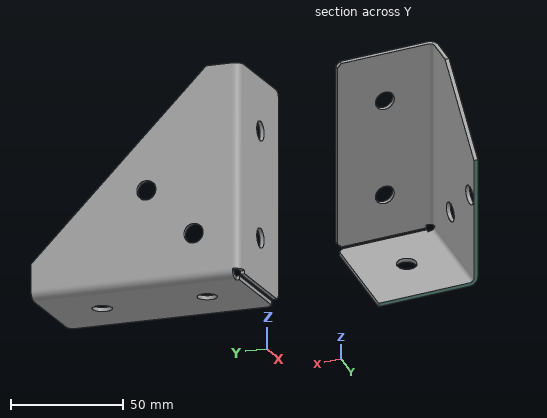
import cadquery as cq

width = 48.0
length = 100.0
thickness = 2.0

inner_radius = 2.0
outer_radius = inner_radius + thickness

corner_chamfer = 2.0
flange_clearance = 0.5
flange_start = thickness + flange_clearance
relief_width = 5.0

gusset_end_width = 16.5

hole_diameter = 9.0
upright_hole_x = 25.0
base_hole_x = 24.0
flange_hole_positions = (25.0, 75.0)
gusset_hole_positions = (22.5, 45.0)


def make_gusset():
    """Triangular web in the YZ plane with clipped tips, starting past both bends."""
    web = (
        cq.Workplane("YZ")
        .moveTo(outer_radius, outer_radius)
        .lineTo(length, outer_radius)
        .lineTo(length, gusset_end_width)
        .lineTo(gusset_end_width, length)
        .lineTo(outer_radius, length)
        .close()
        .extrude(thickness)
    )
    holes = (
        cq.Workplane("YZ")
        .pushPoints([(place, place) for place in gusset_hole_positions])
        .circle(hole_diameter / 2)
        .extrude(thickness)
    )
    return web.cut(holes)


def make_bend():
    """Quarter-round bend along Z joining the gusset to the upright flange."""
    bend_length = length - outer_radius
    center = (outer_radius, outer_radius)
    ring = (
        cq.Workplane("XY", origin=(0, 0, outer_radius))
        .pushPoints([center])
        .circle(outer_radius)
        .circle(inner_radius)
        .extrude(bend_length)
    )
    quarter = (
        cq.Workplane("XY", origin=(0, 0, outer_radius))
        .rect(outer_radius, outer_radius, centered=False)
        .extrude(bend_length)
    )
    return ring.intersect(quarter)


def make_upright_plate(hole_x):
    """Flat part of an upright flange with holes at hole_x, chamfered outer corners and a bend relief."""
    plate = (
        cq.Workplane("XY")
        .box(width - outer_radius, thickness, length - flange_start, centered=False)
        .translate((outer_radius, 0, flange_start))
        .edges("|Y and >X")
        .chamfer(corner_chamfer)
    )
    relief = cq.Workplane("XY").box(relief_width, thickness, outer_radius, centered=False)
    holes = (
        cq.Workplane("XZ")
        .pushPoints([(hole_x, place) for place in flange_hole_positions])
        .circle(hole_diameter / 2)
        .extrude(-thickness)
    )
    return plate.cut(relief).cut(holes)


def make_upright_leg(hole_x):
    """Upright flange together with its bend."""
    return make_bend().union(make_upright_plate(hole_x))


def swap_y_and_z(body):
    """Reflect a body in the plane Y = Z, turning an upright leg into a base leg."""
    return body.rotate((0, 0, 0), (1, 0, 0), 90).mirror("XZ")


upright_leg = make_upright_leg(upright_hole_x)
base_leg = swap_y_and_z(make_upright_leg(base_hole_x))
result = make_gusset().union(upright_leg).union(base_leg)